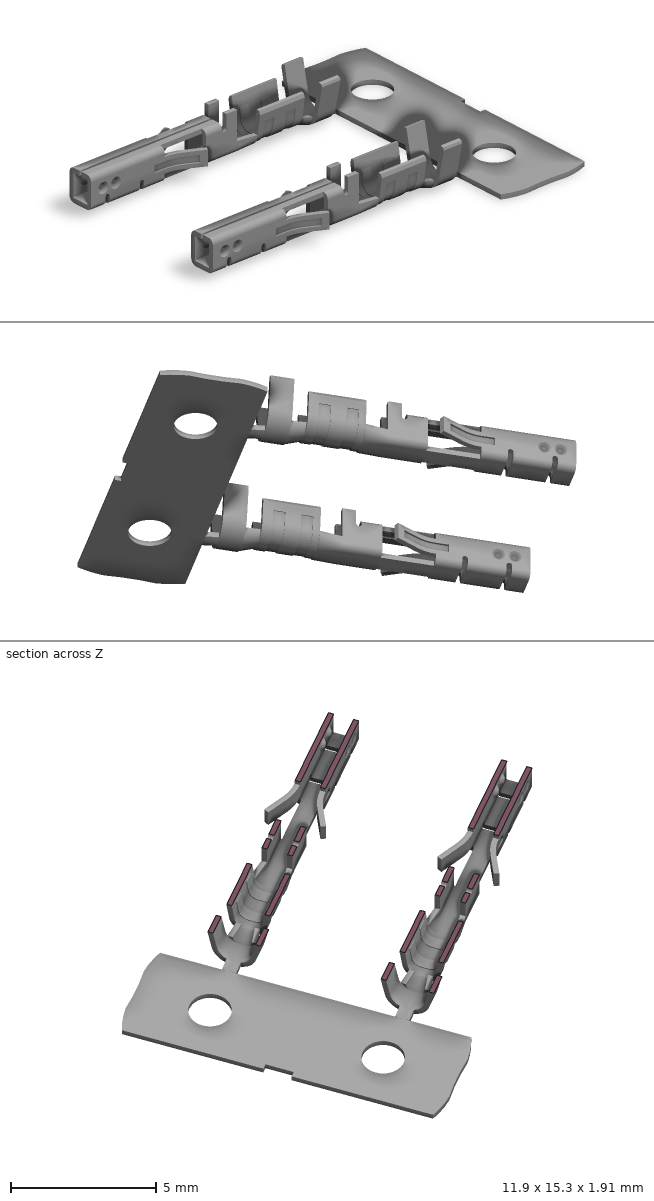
import cadquery as cq
import math

sheet = 0.2
pitch = 6.35
total_length = 15.3

strip_half_length = 5.94
strip_corner_half_length = 5.7
strip_shoulder_half_length = 5.86
strip_waist_half_length = 5.89
strip_front = 11.48
strip_width = total_length - strip_front
lobe_inset = 1.0
pilot_diameter = 1.5
notch_width = 1.04
notch_depth = 0.21

tail_half_width = 0.26
tail_sag_at_strip = 0.02
tail_sag_at_barrel = 0.08

insulation_back = 10.99
insulation_front = 10.15
wire_back = 9.56
wire_front = 7.51
box_back = 6.69

insulation_section = (0.0, 0.054, 0.78, 12.0)
wire_section = (sheet, 0.12, 0.58, 9.0)
insulation_top = 1.91
insulation_bevel = (0.054, 0.09)
wire_top = 1.67
wire_bevel = (0.08, 0.14)

neck_back_section = (0.0, 0.12, 0.43, 0.0)
neck_front_section = (sheet, 0.1, 0.34, 0.0)
neck_back_top = 0.45
neck_front_top = 0.55

transition_section = (sheet, 0.21, 0.47, 0.0)
transition_top = 0.69

serration_centers = (7.99, 8.98)
serration_width = 0.43
serration_top = 1.2
serration_depth = 0.03

box_bend = 0.23
box_half_width = 0.57
box_flat = box_half_width - box_bend
box_floor = sheet
box_top = 1.56
box_height = box_top - box_floor
box_middle = box_floor + box_height / 2
roof_back = 6.0
seam_gap = 0.09
ear_top = 1.9
ear_front = 6.2
ear_notch_bottom = 1.24
box_section = (box_floor, box_flat, box_bend, 0.0)

window_front = 3.37
window_back = 5.26
lance_middle = 0.87
lance_height = 0.65
lance_angle = math.radians(27.0)
lance_bend_length = 0.69
lance_straight = 0.89
groove_front = 2.89
groove_height = 0.3
groove_depth = 0.08
groove_straight = 0.6

dimple_stations = (0.55, 1.13)
dimple_height = 0.95
dimple_radius = 0.23
dimple_tip_radius = 0.09
dimple_depth = 0.1
floor_slot_stations = (0.75, 2.33)
floor_slot_width = 0.2
floor_slot_top = 0.65


def box(x0, x1, y0, y1, z0, z1):
    """Block between the given limits."""
    return cq.Workplane("XY").box(x1 - x0, y1 - y0, z1 - z0, centered=False).translate((x0, y0, z0))


def trough(y, section, top, thickness=sheet, bevel=None):
    """Closed U outline across the terminal at y; the inner wing tips end at height top."""
    floor, flat, radius, flare = section
    angle = math.radians(flare)
    mid_angle = (math.pi / 2 + angle) / 2
    inner_radius = radius - thickness
    center_z = floor + radius

    def on_bend(bend_radius, below_horizontal):
        x = flat + bend_radius * math.cos(below_horizontal)
        return (x, center_z - bend_radius * math.sin(below_horizontal))

    def along_wing(point, distance):
        return (point[0] + distance * math.sin(angle), point[1] + distance * math.cos(angle))

    def mirrored(point):
        return (-point[0], point[1])

    outer_root = on_bend(radius, angle)
    inner_root = on_bend(inner_radius, angle)
    outer_mid = on_bend(radius, mid_angle)
    inner_mid = on_bend(inner_radius, mid_angle)
    wing = (top - inner_root[1]) / math.cos(angle)
    inner_tip = along_wing(inner_root, wing)
    if bevel:
        across, down = bevel
        rim = along_wing(on_bend(radius - across, angle), wing)
        outer_tips = [along_wing(outer_root, wing - down), rim]
    else:
        outer_tips = [along_wing(outer_root, wing)]

    outline = cq.Workplane("XZ", origin=(0, y, 0)).moveTo(-flat, floor).lineTo(flat, floor)
    outline = outline.threePointArc(outer_mid, outer_root)
    for tip in outer_tips:
        outline = outline.lineTo(*tip)
    outline = outline.lineTo(*inner_tip).lineTo(*inner_root)
    outline = outline.threePointArc(inner_mid, (flat, floor + thickness))
    outline = outline.lineTo(-flat, floor + thickness)
    outline = outline.threePointArc(mirrored(inner_mid), mirrored(inner_root))
    outline = outline.lineTo(*mirrored(inner_tip))
    for tip in reversed(outer_tips):
        outline = outline.lineTo(*mirrored(tip))
    outline = outline.lineTo(*mirrored(outer_root))
    return outline.threePointArc(mirrored(outer_mid), (-flat, floor)).close()


def join_sections(first, second):
    """Solid running straight between two cross sections."""
    return cq.Workplane("XY").add(cq.Solid.makeLoft([first.val(), second.val()], True))


def carrier_strip():
    """Strip with waisted ends, a pilot hole behind each terminal and a notch in the back edge."""
    middle = strip_front + strip_width / 2
    shoulder = strip_shoulder_half_length
    back_lobe = total_length - lobe_inset
    front_lobe = strip_front + lobe_inset
    corner = strip_corner_half_length
    outline = (
        cq.Workplane("XY")
        .moveTo(-corner, strip_front)
        .lineTo(corner, strip_front)
        .threePointArc((shoulder, strip_front + lobe_inset / 2), (strip_half_length, front_lobe))
        .threePointArc((strip_waist_half_length, middle), (strip_half_length, back_lobe))
        .threePointArc((shoulder, total_length - lobe_inset / 2), (corner, total_length))
        .lineTo(-corner, total_length)
        .threePointArc((-shoulder, total_length - lobe_inset / 2), (-strip_half_length, back_lobe))
        .threePointArc((-strip_waist_half_length, middle), (-strip_half_length, front_lobe))
        .threePointArc((-shoulder, strip_front + lobe_inset / 2), (-corner, strip_front))
        .close()
    )
    strip = outline.extrude(sheet)
    pilots = (
        cq.Workplane("XY")
        .pushPoints([(-pitch / 2, middle), (pitch / 2, middle)])
        .circle(pilot_diameter / 2)
        .extrude(sheet)
    )
    notch = box(-notch_width / 2, notch_width / 2, total_length - notch_depth, total_length, 0, sheet)
    return strip.cut(pilots).cut(notch)


def tail():
    """Short web that starts nearly flat and curls up into the insulation barrel."""
    def web(y, sag):
        return (
            cq.Workplane("XZ", origin=(0, y, 0))
            .moveTo(-tail_half_width, sag)
            .threePointArc((0, 0), (tail_half_width, sag))
            .lineTo(tail_half_width, sheet + sag)
            .threePointArc((0, sheet), (-tail_half_width, sheet + sag))
            .close()
        )

    return join_sections(web(strip_front, tail_sag_at_strip), web(insulation_back, tail_sag_at_barrel))


def insulation_barrel():
    outline = trough(insulation_front, insulation_section, insulation_top, bevel=insulation_bevel)
    return outline.extrude(insulation_front - insulation_back)


def neck():
    """Trough that rises from the insulation barrel floor to the wire barrel floor."""
    return join_sections(
        trough(insulation_front, neck_back_section, neck_back_top),
        trough(wire_back, neck_front_section, neck_front_top),
    )


def wire_barrel():
    """Open barrel whose wall is pressed inward along the serrations."""
    floor, flat, radius, flare = wire_section
    press = serration_depth
    below_section = (floor - press, flat, radius + press, flare)
    inside_section = (floor + sheet - press, flat, radius - sheet + press, flare)
    barrel = trough(wire_front, wire_section, wire_top, bevel=wire_bevel).extrude(wire_front - wire_back)
    for center in serration_centers:
        start = center - serration_width / 2
        dent = trough(start, below_section, serration_top, 2 * press).extrude(-serration_width)
        ridge = trough(start, inside_section, serration_top, 2 * press).extrude(-serration_width)
        barrel = barrel.cut(dent).union(ridge)
    return barrel


def transition():
    """Trough that narrows from the wire barrel to the box."""
    return join_sections(
        trough(wire_front, transition_section, transition_top),
        trough(box_back, box_section, transition_top),
    )


def lance_band(start_y, thickness, straight, height):
    """Band under the +X wall's outer face that runs from start_y, bends outward and goes straight on."""
    bend_radius = lance_bend_length / math.sin(lance_angle)
    center_x = box_half_width + bend_radius

    def on_bend(depth, angle):
        reach = bend_radius + depth
        return (center_x - reach * math.cos(angle), window_front + reach * math.sin(angle))

    def tip(depth):
        x, y = on_bend(depth, lance_angle)
        return (x + straight * math.sin(lance_angle), y + straight * math.cos(lance_angle))

    half_angle = lance_angle / 2
    outline = cq.Workplane("XY", origin=(0, 0, lance_middle - height / 2)).moveTo(box_half_width, start_y)
    if start_y < window_front:
        outline = outline.lineTo(box_half_width, window_front)
    outline = (
        outline.threePointArc(on_bend(0, half_angle), on_bend(0, lance_angle))
        .lineTo(*tip(0))
        .lineTo(*tip(thickness))
        .lineTo(*on_bend(thickness, lance_angle))
        .threePointArc(on_bend(thickness, half_angle), on_bend(thickness, 0))
    )
    if start_y < window_front:
        outline = outline.lineTo(box_half_width - thickness, start_y)
    return outline.close().extrude(height)


def both_sides(solid):
    """The solid together with its mirror image across the terminal's middle."""
    return solid.union(solid.mirror("YZ"))


def dimple_cone(outer_x, y):
    """Cone pointing inward from the plane x = outer_x."""
    cone = cq.Solid.makeCone(
        dimple_radius, dimple_tip_radius, dimple_depth,
        pnt=cq.Vector(outer_x, y, dimple_height), dir=cq.Vector(-1, 0, 0),
    )
    return cq.Workplane("XY").add(cone)


def side_slot(y, width, round_z, open_z):
    """Cutter through both walls with a round end at round_z, open towards open_z."""
    radius = width / 2
    center_z = round_z + math.copysign(radius, open_z - round_z)
    round_end = (
        cq.Workplane("YZ", origin=(-box_half_width, 0, 0))
        .center(y, center_z)
        .circle(radius)
        .extrude(2 * box_half_width)
    )
    low, high = sorted((center_z, open_z))
    return round_end.union(box(-box_half_width, box_half_width, y - radius, y + radius, low, high))


def socket_box():
    """Folded tube with ears, side windows, lances, dimples and floor slots."""
    inner_half = box_half_width - sheet
    tube = (
        box(-box_half_width, box_half_width, 0, roof_back, box_floor, box_top)
        .edges("|Y")
        .fillet(box_bend)
    )
    bore = (
        box(-inner_half, inner_half, 0, roof_back, box_floor + sheet, box_top - sheet)
        .edges("|Y")
        .fillet(box_bend - sheet)
    )
    seam = box(-seam_gap / 2, seam_gap / 2, 0, roof_back, box_middle, box_top)
    ears = trough(roof_back, box_section, ear_top).extrude(roof_back - box_back)
    notch_width_y = ear_front - roof_back
    ear_notch = side_slot(roof_back + notch_width_y / 2, notch_width_y, ear_notch_bottom, ear_top)
    body = tube.cut(bore).cut(seam).union(ears.cut(ear_notch))

    window = box(box_flat, box_half_width, window_front, window_back, box_floor, box_top)
    lance = lance_band(window_front, sheet, lance_straight, lance_height)
    groove = lance_band(groove_front, groove_depth, groove_straight, groove_height)
    body = body.cut(both_sides(window)).union(both_sides(lance)).cut(both_sides(groove))

    for y in dimple_stations:
        body = body.union(both_sides(dimple_cone(inner_half, y)))
        body = body.cut(both_sides(dimple_cone(box_half_width, y)))
    for y in floor_slot_stations:
        body = body.cut(side_slot(y, floor_slot_width, floor_slot_top, box_floor))
    return body


def terminal():
    body = socket_box()
    for section in (transition(), wire_barrel(), neck(), insulation_barrel(), tail()):
        body = body.union(section)
    return body


socket_terminal = terminal()
result = carrier_strip()
for side in (-1, 1):
    result = result.union(socket_terminal.translate((side * pitch / 2, 0, 0)))